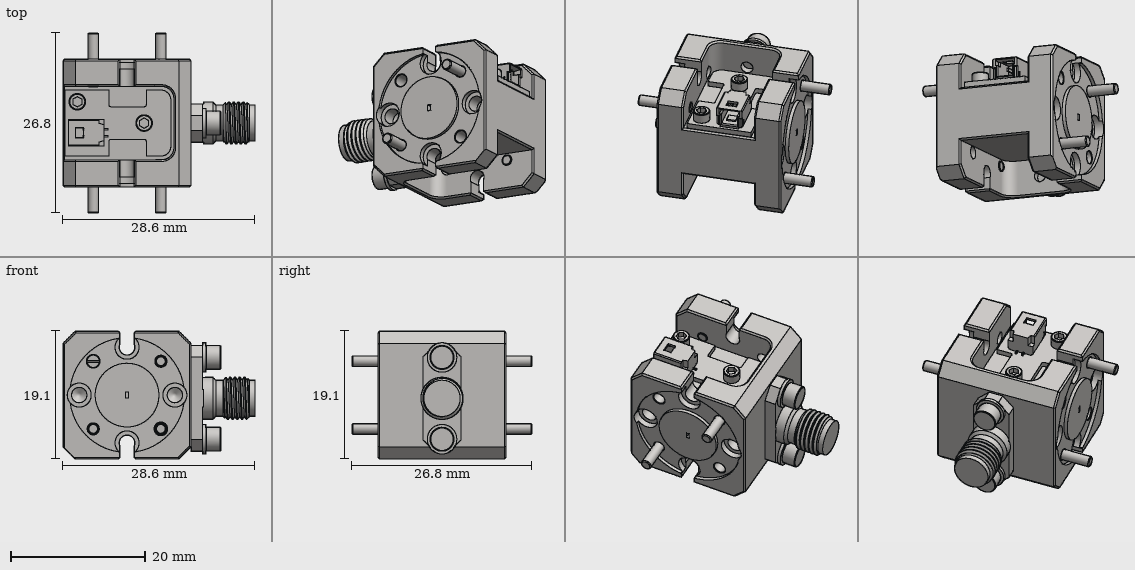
import cadquery as cq
import math


PICK_MARGIN = 0.03

OVERALL_LENGTH = 28.57
BODY = 19.05
HALF = BODY / 2
CORNER_CUT = 1.83
EDGE_CHAMFER = 0.25

POCKET_HALF_WIDTH = 5.45
POCKET_END_X = 6.97
POCKET_FLOOR_Z = 4.03
POCKET_RADIUS = 1.83

DISC_RADIUS = 4.75
GROOVE_RADIUS = 8.55
GROOVE_DEPTH = 0.55
BOLT_CIRCLE_RADIUS = 7.1
COUNTERBORE_DIAMETER = 3.57
COUNTERBORE_DEPTH = 1.49
BOLT_HOLE_RADIUS = 1.15
BOLT_HOLE_DEPTH = 4
DRILL_TIP_ANGLE = 118
SLOT_WIDTH = 2.1
WAVEGUIDE_WIDTH = 0.45
WAVEGUIDE_HEIGHT = 0.89
WAVEGUIDE_DEPTH = 1.43

PIN_OFFSET = BOLT_CIRCLE_RADIUS * math.sqrt(0.5)
PIN_RADIUS = 0.8
PIN_LENGTH = 8
PIN_TIP_Y = 13.4
PIN_CHAMFER = 0.15
PIN_HOLE_RADIUS = 0.9
PIN_RIM_CHAMFER = 0.1

BOARD_THICKNESS = 0.8
BOARD_TOP_Z = POCKET_FLOOR_Z + BOARD_THICKNESS
BOARD_START_X = -9.2
BOARD_END_X = 6.5
BOARD_HALF_WIDTH = 4.9
BOARD_CORNER_RADIUS = 1.49
BOARD_NOTCH_START_X = -2.69
BOARD_NOTCH_END_X = 2.85
BOARD_NECK_HALF_WIDTH = 2.43
BOARD_NOTCH_RADIUS = 0.27

BOARD_SCREWS = [(-7.4, 3.17), (2.55, 0)]
BOARD_SCREW_RADIUS = 1.23
BOARD_SCREW_HEIGHT = 1.49
BOARD_SCREW_CHAMFER = 0.1
SOCKET_ACROSS_CORNERS = 1.55
SOCKET_DEPTH = 0.85
SOCKET_SIDES = 6
SOCKET_TURN = 30

PLUG_START_X = -8.7
PLUG_END_X = -3.4
PLUG_CENTER_Y = -1.43
PLUG_WIDTH = 3.97
PLUG_TOP_Z = 8.03
PLUG_TOP_CHAMFER = 0.17
PLUG_BOTTOM_CHAMFER = 0.29
PLUG_CAVITY_WIDTH = 2.43
PLUG_CAVITY_FLOOR_Z = 5.35
PLUG_CAVITY_TOP_Z = 7.65
PLUG_CAVITY_DEPTH = 4
PLUG_MOUTH_CHAMFER = 0.17
PLUG_KEYWAY_WIDTH = 3.09
PLUG_KEYWAY_BOTTOM_Z = 7.0
PLUG_KEYWAY_TOP_Z = 7.85
PLUG_KEYWAY_DEPTH = 1.15
PLUG_WINDOW_START_X = -7.65
PLUG_WINDOW_LENGTH = 1.2
PLUG_WINDOW_WIDTH = 1.5
PLUG_TAB_WIDTH = 1.37
PLUG_TAB_HEIGHT = 0.23
PLUG_RELIEF_TOP_Z = 6.69
PLUG_RELIEF_LENGTH = 0.35
PLUG_RELIEF_DEPTH = 0.57
PLUG_RELIEF_STEP_DEPTH = 0.25
PLUG_RELIEF_STEP_LENGTH = 0.09
PLUG_SIDE_SLOT_START_X = -7.95
PLUG_SIDE_SLOT_LENGTH = 0.23
PLUG_SIDE_SLOT_DEPTH = 0.25
PLUG_SIDE_SLOT_TOP_Z = 5.95
PLUG_REAR_NOTCH_LENGTH = 0.75
PLUG_REAR_NOTCH_WIDTH = 0.8
PLUG_REAR_NOTCH_SLANT = 0.2
PLUG_REAR_NOTCH_DEPTH = 1.43
CONTACT_SPACING = 1.03
CONTACT_WIDTH = 0.23
CONTACT_BOTTOM_Z = 6.49
CONTACT_HEIGHT = 0.49
CONTACT_START_X = -6.55
LEAD_END_X = -2.83
LEAD_HEIGHT = 0.23

COAX_Z = -0.49
COAX_TIP_X = OVERALL_LENGTH - HALF
COAX_PLATE_END_X = 11.25
COAX_PLATE_HALF_LENGTH = 7.89
COAX_PLATE_HALF_WIDTH = 2.85
COAX_PLATE_CORNER_CUT = 1.75
COAX_FLAT_END_X = 11.4
COAX_COLLAR_RADIUS = 3.15
COAX_COLLAR_END_X = 12.77
COAX_NECK_DIAMETER = 5.4
COAX_NECK_RADIUS = COAX_NECK_DIAMETER / 2
COAX_NECK_START_X = 13.2
THREAD_START_X = 14.28
THREAD_END_X = 18.23
FIVE_TURNS_LENGTH = 3.55
THREAD_PITCH = FIVE_TURNS_LENGTH / 5
THREAD_ROOT_RADIUS = 2.75
THREAD_CREST_WIDTH = 0.15
THREAD_CUT_CLEARANCE = 0.05

COAX_SCREW_OFFSET = 6.09
WASHER_RADIUS = 2.2
WASHER_END_X = 11.75
COAX_SCREW_DIAMETER = 3.57
COAX_SCREW_END_X = 13.95
COAX_SCREW_CHAMFER = 0.1
COAX_SCREW_HOLE_RADIUS = 0.9
COAX_SCREW_HOLE_DEPTH = 1.15


def box(x0, x1, y0, y1, z0, z1):
    """Box given by its limits along each axis."""
    return cq.Workplane("XY").box(x1 - x0, y1 - y0, z1 - z0, centered=False).translate((x0, y0, z0))


def rod_x(radius, x0, x1, y, z):
    """Round rod along X."""
    return cq.Workplane("YZ", origin=(x0, y, z)).circle(radius).extrude(x1 - x0)


def rod_y(radius, y0, y1, x, z):
    """Round rod along Y, from y0 toward +Y to y1."""
    return cq.Workplane("XZ", origin=(x, y0, z)).circle(radius).extrude(y0 - y1)


def both_ends(tool):
    """The tool made for the front flange together with its mirror image at the back."""
    return tool.union(tool.mirror("XZ"))




def is_pocket_rim(edge):
    """True for the edges where a pocket breaks through the outside of the body."""
    center = edge.Center()
    across_corner = abs(center.z) - center.x
    on_outside = (
        abs(abs(center.z) - HALF) < PICK_MARGIN
        or abs(center.x + HALF) < PICK_MARGIN
        or abs(across_corner - (BODY - CORNER_CUT)) < PICK_MARGIN
    )
    within_width = abs(center.y) < POCKET_HALF_WIDTH + PICK_MARGIN
    within_length = center.x < POCKET_END_X + PICK_MARGIN
    return on_outside and within_width and within_length


def is_chamfered_face_edge(edge):
    """True for the outline edges of a flange face except the sharp one at the lower -X corner."""
    center = edge.Center()
    at_sharp_corner = max(center.x, center.z) < -HALF + CORNER_CUT
    return not at_sharp_corner


def make_block():
    block = cq.Workplane("XY").box(BODY, BODY, BODY).edges("|Y").chamfer(CORNER_CUT)
    pocket = (
        box(-BODY, POCKET_END_X, -POCKET_HALF_WIDTH, POCKET_HALF_WIDTH, POCKET_FLOOR_Z, BODY)
        .edges("|Z and >X")
        .fillet(POCKET_RADIUS)
    )
    block = block.cut(pocket).cut(pocket.mirror("XY"))
    block = block.edges().filter(is_pocket_rim).chamfer(EDGE_CHAMFER)
    return block.faces("<Y or >Y").edges().filter(is_chamfered_face_edge).chamfer(EDGE_CHAMFER)


def slot_cutter():
    """Bolt slot along Y that opens upward with a chamfered mouth."""
    half = SLOT_WIDTH / 2
    mouth = half + EDGE_CHAMFER
    slot = (
        cq.Workplane("XZ", origin=(0, HALF, 0))
        .moveTo(-half, BOLT_CIRCLE_RADIUS)
        .lineTo(-half, HALF - EDGE_CHAMFER)
        .lineTo(-mouth, HALF)
        .lineTo(mouth, HALF)
        .lineTo(half, HALF - EDGE_CHAMFER)
        .lineTo(half, BOLT_CIRCLE_RADIUS)
        .close()
        .extrude(BODY)
    )
    return slot.union(rod_y(BOLT_HOLE_RADIUS, -HALF, HALF, 0, BOLT_CIRCLE_RADIUS))


def blind_hole_cutter(x):
    """Drilled bolt hole with a conical bottom in the front flange."""
    tip = BOLT_HOLE_RADIUS / math.tan(math.radians(DRILL_TIP_ANGLE / 2))
    return (
        cq.Workplane("XY", origin=(x, -HALF, 0))
        .polyline(
            [
                (0, 0),
                (BOLT_HOLE_RADIUS, 0),
                (BOLT_HOLE_RADIUS, BOLT_HOLE_DEPTH),
                (0, BOLT_HOLE_DEPTH + tip),
            ]
        )
        .close()
        .revolve(360, (0, 0), (0, 1))
    )


def flange_cutter():
    """Groove, counterbores, blind bolt holes and waveguide opening of the front flange."""
    groove = rod_y(GROOVE_RADIUS, -HALF, -HALF + GROOVE_DEPTH, 0, 0)
    groove = groove.cut(rod_y(DISC_RADIUS, -HALF, 0, 0, 0))
    cutter = groove.union(
        box(
            -WAVEGUIDE_WIDTH / 2,
            WAVEGUIDE_WIDTH / 2,
            -HALF,
            -HALF + WAVEGUIDE_DEPTH,
            -WAVEGUIDE_HEIGHT / 2,
            WAVEGUIDE_HEIGHT / 2,
        )
    )
    for x, z in [(1, 0), (-1, 0), (0, 1), (0, -1)]:
        cutter = cutter.union(
            rod_y(
                COUNTERBORE_DIAMETER / 2,
                -HALF,
                -HALF + COUNTERBORE_DEPTH,
                x * BOLT_CIRCLE_RADIUS,
                z * BOLT_CIRCLE_RADIUS,
            )
        )
    for side in (1, -1):
        cutter = cutter.union(blind_hole_cutter(side * BOLT_CIRCLE_RADIUS))
    return cutter


def countersunk_hole_cutter(radius, x, z):
    """Hole through the front flange and the pocket corner, chamfered at the groove floor."""
    face_y = -HALF + GROOVE_DEPTH
    rim = radius + PIN_RIM_CHAMFER
    depth = HALF - GROOVE_DEPTH - POCKET_HALF_WIDTH + POCKET_RADIUS
    return (
        cq.Workplane("XY", origin=(x, face_y, z))
        .polyline(
            [
                (0, 0),
                (rim, 0),
                (radius, PIN_RIM_CHAMFER),
                (radius, depth),
                (0, depth),
            ]
        )
        .close()
        .revolve(360, (0, 0), (0, 1))
    )


def make_pin(x, z):
    """Alignment pin standing out of the front flange."""
    pin = rod_y(PIN_RADIUS, -PIN_TIP_Y, -PIN_TIP_Y + PIN_LENGTH, x, z)
    return pin.faces("<Y or >Y").edges().chamfer(PIN_CHAMFER)


def make_body():
    body = make_block()
    slot = slot_cutter()
    body = body.cut(slot).cut(slot.mirror("XY"))
    body = body.cut(both_ends(flange_cutter()))
    for side in (1, -1):
        pin_x = side * PIN_OFFSET
        front_pin_hole = countersunk_hole_cutter(PIN_RADIUS, pin_x, pin_x)
        front_open_hole = countersunk_hole_cutter(PIN_HOLE_RADIUS, pin_x, -pin_x)
        back_open_hole = countersunk_hole_cutter(PIN_HOLE_RADIUS, pin_x, pin_x).mirror("XZ")
        back_pin_hole = countersunk_hole_cutter(PIN_RADIUS, pin_x, -pin_x).mirror("XZ")
        for cutter in (front_pin_hole, front_open_hole, back_open_hole, back_pin_hole):
            body = body.cut(cutter)
        body = body.union(make_pin(pin_x, pin_x))
        body = body.union(make_pin(pin_x, -pin_x).mirror("XZ"))
        body = body.cut(
            rod_x(
                COAX_SCREW_HOLE_RADIUS,
                POCKET_END_X,
                POCKET_END_X + COAX_SCREW_HOLE_DEPTH,
                0,
                COAX_Z + side * COAX_SCREW_OFFSET,
            )
        )
    return body




def make_board():
    board = box(
        BOARD_START_X, BOARD_END_X, -BOARD_HALF_WIDTH, BOARD_HALF_WIDTH, POCKET_FLOOR_Z, BOARD_TOP_Z
    )
    board = board.edges("|Z and >X").fillet(BOARD_CORNER_RADIUS)
    notch = (
        box(
            BOARD_NOTCH_START_X,
            BOARD_NOTCH_END_X,
            BOARD_NECK_HALF_WIDTH,
            BODY,
            POCKET_FLOOR_Z,
            BOARD_TOP_Z,
        )
        .edges("|Z and <Y")
        .fillet(BOARD_NOTCH_RADIUS)
    )
    return board.cut(notch).cut(notch.mirror("XZ"))


def make_board_screw(x, y):
    """Cap screw head with a hexagon socket."""
    head = (
        cq.Workplane("XY", origin=(x, y, BOARD_TOP_Z))
        .circle(BOARD_SCREW_RADIUS)
        .extrude(BOARD_SCREW_HEIGHT)
        .faces(">Z")
        .edges()
        .chamfer(BOARD_SCREW_CHAMFER)
    )
    socket = (
        cq.Workplane("XY", origin=(x, y, BOARD_TOP_Z + BOARD_SCREW_HEIGHT - SOCKET_DEPTH))
        .polygon(SOCKET_SIDES, SOCKET_ACROSS_CORNERS)
        .extrude(SOCKET_DEPTH)
        .rotate((x, y, 0), (x, y, 1), SOCKET_TURN)
    )
    return head.cut(socket)




def plug_box(x0, x1, width, z0, z1):
    """Box centred on the middle plane of the plug socket."""
    return box(x0, x1, PLUG_CENTER_Y - width / 2, PLUG_CENTER_Y + width / 2, z0, z1)


def rear_notch_cutter():
    """Cutter for the upper rear corner on the +Y side of the plug socket."""
    side_y = PLUG_CENTER_Y + PLUG_WIDTH / 2
    start_x = PLUG_END_X - PLUG_REAR_NOTCH_LENGTH
    return (
        cq.Workplane("XY", origin=(0, 0, PLUG_TOP_Z - PLUG_REAR_NOTCH_DEPTH))
        .polyline(
            [
                (start_x, side_y),
                (start_x, side_y - PLUG_REAR_NOTCH_WIDTH + PLUG_REAR_NOTCH_SLANT),
                (PLUG_END_X, side_y - PLUG_REAR_NOTCH_WIDTH),
                (PLUG_END_X, side_y),
            ]
        )
        .close()
        .extrude(PLUG_REAR_NOTCH_DEPTH)
    )


def make_plug_socket():
    shell = plug_box(PLUG_START_X, PLUG_END_X, PLUG_WIDTH, BOARD_TOP_Z, PLUG_TOP_Z)
    shell = shell.edges("|X and >Z").chamfer(PLUG_TOP_CHAMFER)
    shell = shell.edges("|X and <Z").chamfer(PLUG_BOTTOM_CHAMFER)

    cavity = plug_box(
        PLUG_START_X,
        PLUG_START_X + PLUG_CAVITY_DEPTH,
        PLUG_CAVITY_WIDTH,
        PLUG_CAVITY_FLOOR_Z,
        PLUG_CAVITY_TOP_Z,
    )
    keyway_end_x = PLUG_START_X + PLUG_KEYWAY_DEPTH
    keyway = (
        cq.Workplane("XZ", origin=(0, PLUG_CENTER_Y + PLUG_KEYWAY_WIDTH / 2, 0))
        .polyline(
            [
                (PLUG_START_X, PLUG_KEYWAY_BOTTOM_Z),
                (PLUG_START_X, PLUG_KEYWAY_TOP_Z),
                (keyway_end_x, PLUG_CAVITY_TOP_Z),
                (keyway_end_x, PLUG_KEYWAY_BOTTOM_Z),
            ]
        )
        .close()
        .extrude(PLUG_KEYWAY_WIDTH)
    )
    window = plug_box(
        PLUG_WINDOW_START_X,
        PLUG_WINDOW_START_X + PLUG_WINDOW_LENGTH,
        PLUG_WINDOW_WIDTH,
        PLUG_CAVITY_TOP_Z,
        PLUG_TOP_Z,
    )
    mouth_half = PLUG_CAVITY_WIDTH / 2 + PICK_MARGIN
    cavity_mouth = cq.selectors.BoxSelector(
        (PLUG_START_X - PICK_MARGIN, PLUG_CENTER_Y - mouth_half, PLUG_CAVITY_FLOOR_Z - PICK_MARGIN),
        (PLUG_START_X + PICK_MARGIN, PLUG_CENTER_Y + mouth_half, PLUG_CAVITY_TOP_Z + PICK_MARGIN),
    )
    shell = shell.cut(cavity)
    shell = shell.edges(cavity_mouth).chamfer(PLUG_MOUTH_CHAMFER)
    shell = shell.cut(keyway).cut(window)

    side_y = PLUG_CENTER_Y + PLUG_WIDTH / 2
    relief = box(
        PLUG_START_X,
        PLUG_START_X + PLUG_RELIEF_LENGTH,
        side_y - PLUG_RELIEF_DEPTH,
        side_y,
        BOARD_TOP_Z,
        PLUG_RELIEF_TOP_Z,
    )
    relief_step = box(
        PLUG_START_X,
        PLUG_START_X + PLUG_RELIEF_LENGTH + PLUG_RELIEF_STEP_LENGTH,
        side_y - PLUG_RELIEF_DEPTH,
        side_y - PLUG_RELIEF_STEP_DEPTH,
        BOARD_TOP_Z,
        PLUG_RELIEF_TOP_Z,
    )
    side_slot = box(
        PLUG_SIDE_SLOT_START_X,
        PLUG_SIDE_SLOT_START_X + PLUG_SIDE_SLOT_LENGTH,
        side_y - PLUG_SIDE_SLOT_DEPTH,
        side_y,
        BOARD_TOP_Z,
        PLUG_SIDE_SLOT_TOP_Z,
    )
    for cutter in (rear_notch_cutter(), relief, relief_step, side_slot):
        shell = shell.cut(cutter).cut(cutter.mirror("XZ", (0, PLUG_CENTER_Y, 0)))

    tab = plug_box(
        PLUG_WINDOW_START_X,
        PLUG_WINDOW_START_X + PLUG_WINDOW_LENGTH,
        PLUG_TAB_WIDTH,
        PLUG_CAVITY_FLOOR_Z,
        PLUG_CAVITY_FLOOR_Z + PLUG_TAB_HEIGHT,
    )
    shell = shell.union(tab)
    cavity_end_x = PLUG_START_X + PLUG_CAVITY_DEPTH
    contact = plug_box(
        CONTACT_START_X,
        cavity_end_x,
        CONTACT_WIDTH,
        CONTACT_BOTTOM_Z,
        CONTACT_BOTTOM_Z + CONTACT_HEIGHT,
    )
    lead = plug_box(PLUG_END_X, LEAD_END_X, CONTACT_WIDTH, BOARD_TOP_Z, BOARD_TOP_Z + LEAD_HEIGHT)
    for side in (1, -1):
        offset = (0, side * CONTACT_SPACING / 2, 0)
        shell = shell.union(contact.translate(offset)).union(lead.translate(offset))
    return shell




def thread_groove():
    """Helical V groove, right-handed, running the length of the thread."""
    flank_rise = COAX_COLLAR_RADIUS - THREAD_ROOT_RADIUS
    half_width = (THREAD_PITCH - THREAD_CREST_WIDTH) / 2
    outer_half_width = half_width * (flank_rise + THREAD_CUT_CLEARANCE) / flank_rise
    cutter_radius = COAX_COLLAR_RADIUS + THREAD_CUT_CLEARANCE
    helix = cq.Wire.makeHelix(
        THREAD_PITCH, THREAD_END_X - THREAD_START_X + THREAD_PITCH, THREAD_ROOT_RADIUS
    )
    groove = (
        cq.Workplane("XZ")
        .polyline(
            [
                (THREAD_ROOT_RADIUS, 0),
                (cutter_radius, outer_half_width),
                (cutter_radius, -outer_half_width),
            ]
        )
        .close()
        .sweep(cq.Workplane(obj=helix), isFrenet=True)
    )
    groove = groove.rotate((0, 0, 0), (0, 1, 0), 90)
    return groove.translate((THREAD_START_X - THREAD_PITCH / 2, 0, COAX_Z))


def make_coax():
    plate = (
        cq.Workplane("XY")
        .box(COAX_PLATE_END_X - HALF, 2 * COAX_PLATE_HALF_WIDTH, 2 * COAX_PLATE_HALF_LENGTH)
        .edges("|X")
        .chamfer(COAX_PLATE_CORNER_CUT)
        .translate(((COAX_PLATE_END_X + HALF) / 2, 0, COAX_Z))
    )
    thread_taper = COAX_COLLAR_RADIUS - COAX_NECK_RADIUS
    barrel = (
        cq.Workplane("XY", origin=(0, 0, COAX_Z))
        .polyline(
            [
                (COAX_PLATE_END_X, 0),
                (COAX_PLATE_END_X, COAX_COLLAR_RADIUS),
                (COAX_COLLAR_END_X, COAX_COLLAR_RADIUS),
                (COAX_NECK_START_X, COAX_NECK_RADIUS),
                (THREAD_START_X, COAX_NECK_RADIUS),
                (THREAD_START_X + thread_taper, COAX_COLLAR_RADIUS),
                (THREAD_END_X - thread_taper, COAX_COLLAR_RADIUS),
                (THREAD_END_X, COAX_NECK_RADIUS),
                (COAX_TIP_X, COAX_NECK_RADIUS),
                (COAX_TIP_X, 0),
            ]
        )
        .close()
        .revolve(360, (0, 0), (1, 0))
    )
    flat = box(COAX_PLATE_END_X, COAX_FLAT_END_X, COAX_PLATE_HALF_WIDTH, BODY, -BODY, BODY)
    barrel = barrel.cut(flat).cut(flat.mirror("XZ")).cut(thread_groove())
    return plate.union(barrel)


def make_coax_screw(z):
    """Washer and cap screw head."""
    washer = rod_x(WASHER_RADIUS, COAX_PLATE_END_X, WASHER_END_X, 0, z)
    head = rod_x(COAX_SCREW_DIAMETER / 2, WASHER_END_X, COAX_SCREW_END_X, 0, z)
    head = head.faces("<X or >X").edges().chamfer(COAX_SCREW_CHAMFER)
    return washer.union(head)



result = make_body().union(make_board()).union(make_plug_socket()).union(make_coax())
for screw_x, screw_y in BOARD_SCREWS:
    result = result.union(make_board_screw(screw_x, screw_y))
for screw_side in (1, -1):
    result = result.union(make_coax_screw(COAX_Z + screw_side * COAX_SCREW_OFFSET))